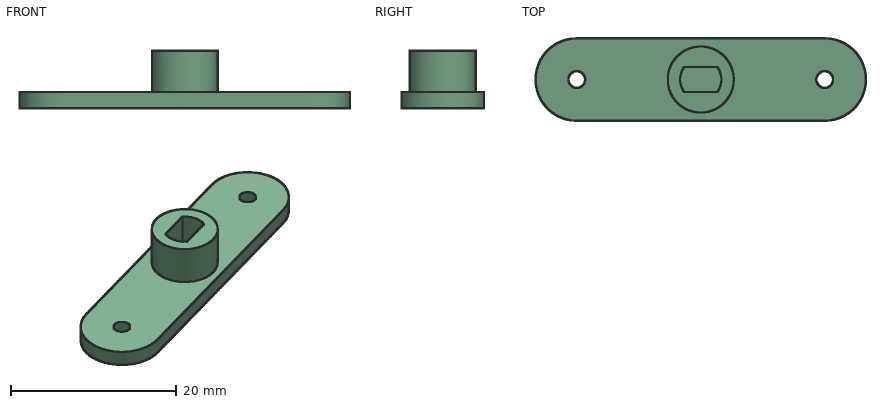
import cadquery as cq

plate_length = 40.0
plate_width = 10.0
plate_thickness = 2.0

hole_diameter = 2.0
hole_spacing = plate_length - plate_width

boss_diameter = 8.0
boss_height = 5.0
socket_diameter = 5.0
socket_across_flats = 3.0
socket_depth = boss_height


def make_plate():
    plate = cq.Workplane("XY").slot2D(plate_length, plate_width).extrude(plate_thickness)
    return (
        plate.faces(">Z").workplane()
        .pushPoints([(-hole_spacing / 2, 0), (hole_spacing / 2, 0)])
        .hole(hole_diameter)
    )


def make_boss():
    return (
        cq.Workplane("XY", origin=(0, 0, plate_thickness))
        .circle(boss_diameter / 2)
        .extrude(boss_height)
    )


def make_socket():
    """Round shaft shape cut down to two flats parallel to the plate's long sides."""
    socket_floor = plate_thickness + boss_height - socket_depth
    base = cq.Workplane("XY", origin=(0, 0, socket_floor))
    shaft = base.circle(socket_diameter / 2).extrude(socket_depth)
    flats = base.rect(socket_diameter, socket_across_flats).extrude(socket_depth)
    return shaft.intersect(flats)


result = make_plate().union(make_boss()).cut(make_socket())